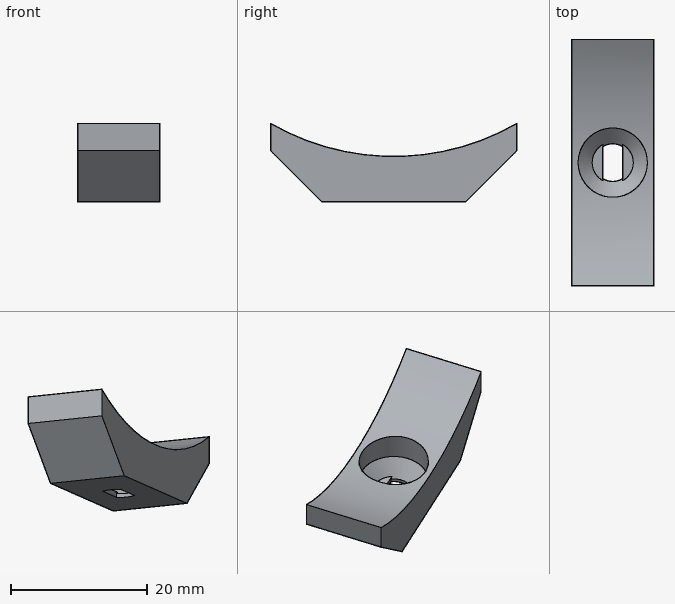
import cadquery as cq

width = 12.0
length = 36.0
height = 11.5
bevel = 7.5
middle_thickness = 6.65

head_diameter = 10.1
ledge_diameter = 6.0
shank_diameter = 5.47
slot_width = 2.9
seat_top = 2.88
ledge_height = seat_top - (head_diameter - ledge_diameter) / 2
seat_bottom = seat_top - (head_diameter - shank_diameter) / 2


def saddle_block():
    half_length = length / 2
    return (
        cq.Workplane("YZ")
        .moveTo(-half_length + bevel, 0)
        .lineTo(half_length - bevel, 0)
        .lineTo(half_length, bevel)
        .lineTo(half_length, height)
        .threePointArc((0, middle_thickness), (-half_length, height))
        .lineTo(-half_length, bevel)
        .close()
        .extrude(width / 2, both=True)
    )


def round_hole():
    """Head bore, conical seat and shank bore, turned about Z."""
    return (
        cq.Workplane("XZ")
        .lineTo(shank_diameter / 2, 0)
        .lineTo(shank_diameter / 2, seat_bottom)
        .lineTo(head_diameter / 2, seat_top)
        .lineTo(head_diameter / 2, height)
        .lineTo(0, height)
        .close()
        .revolve(360, (0, 0, 0), (0, 1, 0))
    )


def ledge(side):
    """Block beside the slot that fills the hole up to the ledge height."""
    ledge_width = (head_diameter - slot_width) / 2
    center_x = side * (slot_width + ledge_width) / 2
    return (
        cq.Workplane("XY")
        .center(center_x, 0)
        .rect(ledge_width, head_diameter)
        .extrude(ledge_height)
    )


screw_hole = round_hole()
for side in (-1, 1):
    screw_hole = screw_hole.cut(ledge(side))

result = saddle_block().cut(screw_hole)